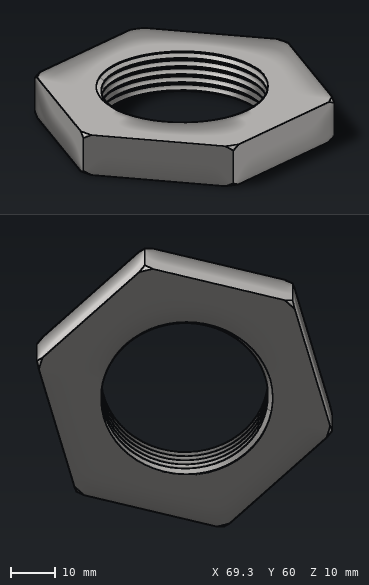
import cadquery as cq


across_corners = 69.3
thread_turns = 5
thickness = 10.0
major_diameter = 40.0
corner_chamfer = 0.9
root_angle = 235.0

pitch = thickness / thread_turns
thread_depth = 1.1
root_flat = pitch / 8
crest_flat = pitch / 16
flank_height = (pitch - root_flat - crest_flat) / 2
flank_slope = flank_height / thread_depth

corner_radius = across_corners / 2
root_radius = major_diameter / 2
bore_radius = root_radius - thread_depth
half_thickness = thickness / 2


def hexagon_blank():
    return cq.Workplane("XY").polygon(6, across_corners).extrude(half_thickness, both=True)


def turned_envelope():
    """Round disc whose chamfered rims trim the hexagon corners."""
    disc = cq.Workplane("XY").circle(corner_radius).extrude(half_thickness, both=True)
    return disc.faces("|Z").edges().chamfer(corner_chamfer)


def groove_turn():
    """One right-hand turn of the thread groove, starting in the root direction at Z zero."""
    overlap = 0.15
    inner_radius = bore_radius - overlap
    half_root = root_flat / 2
    half_mouth = half_root + (thread_depth + overlap) * flank_slope
    path = cq.Wire.makeHelix(pitch, pitch, bore_radius)
    profile = cq.Workplane("XZ").polyline([
        (inner_radius, -half_mouth),
        (root_radius, -half_root),
        (root_radius, half_root),
        (inner_radius, half_mouth),
    ]).close()
    turn = profile.sweep(cq.Workplane(path), isFrenet=True)
    return turn.rotate((0, 0, 0), (0, 0, 1), root_angle)


nut = hexagon_blank().intersect(turned_envelope())
nut = nut.cut(cq.Workplane("XY").circle(bore_radius).extrude(half_thickness, both=True))

turn = groove_turn()
for index in range(-1, thread_turns + 1):
    start_height = index * pitch - half_thickness
    nut = nut.cut(turn.translate((0, 0, start_height)), clean=False)

result = nut